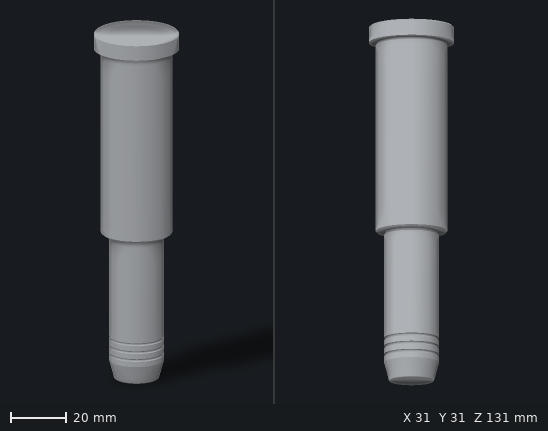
import cadquery as cq
import math

head_diameter = 31.0
head_height = 6.0
head_chamfer = 0.5

shank_diameter = 26.0
shank_length = 70.0
shank_chamfer = 0.5

head_relief_width = 1.0

pin_diameter = 20.0
pin_length = 55.0

pin_relief_width = 1.0
pin_relief_depth = 0.5

groove_count = 3
groove_pitch = 3.0
groove_width = 1.0
first_groove_bottom = 9.0

tip_length = 7.0
tip_half_angle = 15.0
tip_edge_fillet = 0.5

shank_bottom = pin_length
head_bottom = shank_bottom + shank_length


def cylinder(diameter, bottom, height):
    """Cylinder on the Z axis, starting at the given level."""
    return cq.Workplane("XY").workplane(offset=bottom).circle(diameter / 2).extrude(height)


def revolve_about_z(section):
    """Turn a closed section in the XZ plane into a solid of revolution."""
    return section.revolve(360, (0, 0), (0, 1), clean=False)


def cut_square_groove(body, diameter, bottom, width, depth):
    """Cut a flat-bottomed groove around a cylinder of the given diameter."""
    ring = cylinder(diameter, bottom, width).cut(cylinder(diameter - 2 * depth, bottom, width))
    return body.cut(ring, clean=False)


def cut_round_groove(body, diameter, bottom, width):
    """Cut a semicircular groove, made of two quarter arcs, around a cylinder."""
    surface_radius = diameter / 2
    arc_radius = width / 2
    middle = bottom + arc_radius
    top = bottom + width
    diagonal = arc_radius * math.sqrt(0.5)
    section = (
        cq.Workplane("XZ")
        .moveTo(surface_radius, bottom)
        .threePointArc((surface_radius - diagonal, middle - diagonal), (surface_radius - arc_radius, middle))
        .threePointArc((surface_radius - diagonal, middle + diagonal), (surface_radius, top))
        .close()
    )
    return body.cut(revolve_about_z(section), clean=False)


def make_head():
    """Flat disc with a chamfered top rim."""
    head = cylinder(head_diameter, head_bottom, head_height)
    return head.faces(">Z").edges().chamfer(head_chamfer)


def make_shank():
    """Fitting cylinder, chamfered at the bottom and relieved under the head."""
    shank = cylinder(shank_diameter, shank_bottom, shank_length)
    shank = shank.faces("<Z").edges().chamfer(shank_chamfer)
    relief_bottom = head_bottom - head_relief_width
    return cut_round_groove(shank, shank_diameter, relief_bottom, head_relief_width)


def make_pin():
    """Guide pin with a conical tip, lubrication grooves and a relief under the shank."""
    pin_radius = pin_diameter / 2
    tip_radius = pin_radius - tip_length * math.tan(math.radians(tip_half_angle))
    outline = [
        (0, 0),
        (tip_radius, 0),
        (pin_radius, tip_length),
        (pin_radius, pin_length),
        (0, pin_length),
    ]
    pin = revolve_about_z(cq.Workplane("XZ").polyline(outline).close())
    pin = pin.faces("<Z").edges().fillet(tip_edge_fillet)
    for index in range(groove_count):
        groove_bottom = first_groove_bottom + index * groove_pitch
        pin = cut_round_groove(pin, pin_diameter, groove_bottom, groove_width)
    relief_bottom = pin_length - pin_relief_width
    return cut_square_groove(pin, pin_diameter, relief_bottom, pin_relief_width, pin_relief_depth)


result = make_head().union(make_shank(), clean=False).union(make_pin(), clean=False)